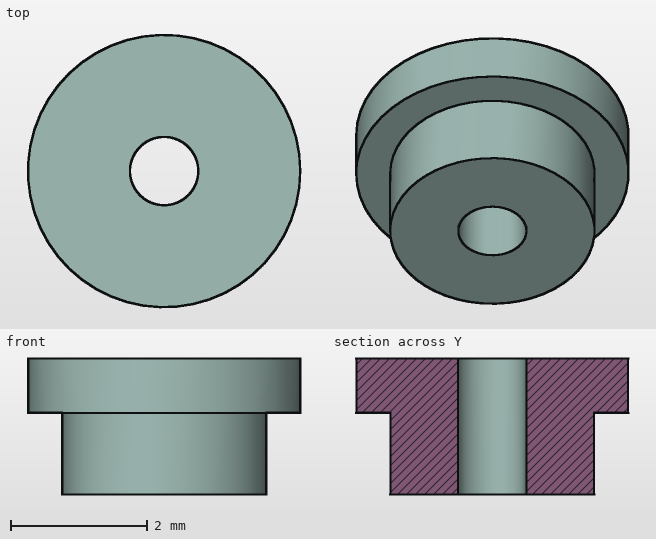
import cadquery as cq

flange_diameter = 4.0
flange_height = 0.8
body_diameter = 3.0
body_height = 1.2
bore_diameter = 1.0

body = cq.Workplane("XY").circle(body_diameter / 2).extrude(body_height)

flange = (
    cq.Workplane("XY")
    .workplane(offset=body_height)
    .circle(flange_diameter / 2)
    .extrude(flange_height)
)

total_height = body_height + flange_height
bore = cq.Workplane("XY").circle(bore_diameter / 2).extrude(total_height)

result = body.union(flange).cut(bore)